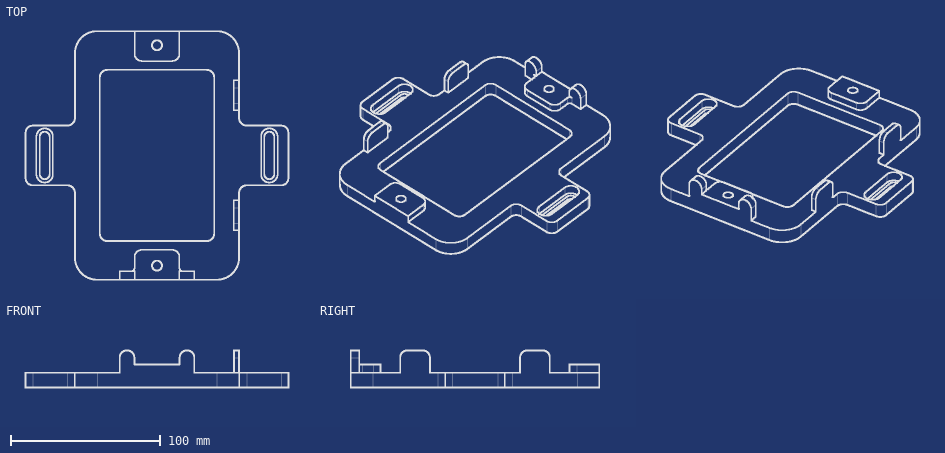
import cadquery as cq
import math

overall_length = 175.5
body_width = 109.7
body_depth = 166.0
plate_thickness = 10.0
body_corner_radius = 15.0
small_radius = 5.0
window_width = 76.2
window_depth = 114.0
tab_depth = 40.0

slot_offset = 75.0
slot_width = 6.5
slot_length = 31.6
slot_step = 2.3
slot_recess_depth = 6.7

pad_width = 30.0
pad_depth = 20.0
pad_height = 5.5
hole_diameter = 6.5
hole_edge_distance = 9.5

stop_height = 15.0
lug_width = 10.0
lug_thickness = 5.8
lug_fillet_radius = 2.0
side_stop_thickness = 3.5
side_stop_length = 20.0
side_stop_offset = 40.0

body_right = body_width / 2
body_back = body_depth / 2


def block(width, depth, height, x=0.0, y=0.0, z=0.0):
    """Box centred on (x, y) with its underside at z."""
    base = cq.Workplane("XY", origin=(x, y, z))
    return base.box(width, depth, height, centered=(True, True, False))


def make_plate():
    """Cross-shaped frame with rounded corners and a rounded window."""
    body = block(body_width, body_depth, plate_thickness).edges("|Z").fillet(body_corner_radius)
    tabs = block(overall_length, tab_depth, plate_thickness).edges("|Z").fillet(small_radius)
    junctions = cq.selectors.BoxSelector(
        (-body_right - small_radius, -tab_depth, -plate_thickness),
        (body_right + small_radius, tab_depth, 2 * plate_thickness),
    )
    frame = body.union(tabs).edges("|Z").edges(junctions).fillet(small_radius)
    window = block(window_width, window_depth, plate_thickness).edges("|Z").fillet(small_radius)
    return frame.cut(window)


def make_slot(x):
    """Through slot along Y with a wider recess at the top."""
    through = (
        cq.Workplane("XY")
        .center(x, 0)
        .slot2D(slot_length, slot_width, 90)
        .extrude(plate_thickness)
    )
    recess = (
        cq.Workplane("XY", origin=(0, 0, plate_thickness - slot_recess_depth))
        .center(x, 0)
        .slot2D(slot_length + 2 * slot_step, slot_width + 2 * slot_step, 90)
        .extrude(slot_recess_depth)
    )
    return through.union(recess)


def make_pad(side):
    """Raised pad flush with the front (side = -1) or back (side = 1) edge."""
    pad_y = side * (body_back - pad_depth / 2)
    inner_corners = "|Z and <Y" if side > 0 else "|Z and >Y"
    pad = block(pad_width, pad_depth, pad_height, y=pad_y, z=plate_thickness)
    return pad.edges(inner_corners).fillet(small_radius)


def make_screw_hole(side):
    """Vertical hole through a pad and the plate below it."""
    hole_y = side * (body_back - hole_edge_distance)
    return (
        cq.Workplane("XY")
        .center(0, hole_y)
        .circle(hole_diameter / 2)
        .extrude(plate_thickness + pad_height)
    )


def make_lug(side):
    """Round-topped lug on the front edge, beside the pad."""
    lug_x = side * (pad_width + lug_width) / 2
    straight_height = stop_height - lug_width / 2
    return (
        cq.Workplane("XZ", origin=(lug_x, -body_back, plate_thickness))
        .moveTo(-lug_width / 2, 0)
        .lineTo(lug_width / 2, 0)
        .lineTo(lug_width / 2, straight_height)
        .threePointArc((0, stop_height), (-lug_width / 2, straight_height))
        .close()
        .extrude(-lug_thickness)
    )


def make_lug_fillet(side):
    """Concave fillet, as tall as the pad, between the pad side and the back of a lug."""
    corner_x = side * pad_width / 2
    corner_y = lug_thickness - body_back
    arc_x = corner_x + side * lug_fillet_radius
    arc_y = corner_y + lug_fillet_radius
    arc_reach = lug_fillet_radius * math.sqrt(0.5)
    arc_middle = (arc_x - side * arc_reach, arc_y - arc_reach)
    return (
        cq.Workplane("XY", origin=(0, 0, plate_thickness))
        .moveTo(corner_x, corner_y)
        .lineTo(arc_x, corner_y)
        .threePointArc(arc_middle, (corner_x, arc_y))
        .close()
        .extrude(pad_height)
    )


def make_side_stop(side):
    """Thin upright stop on the right edge with rounded top corners."""
    stop = block(
        side_stop_thickness,
        side_stop_length,
        stop_height,
        x=body_right - side_stop_thickness / 2,
        y=side * side_stop_offset,
        z=plate_thickness,
    )
    return stop.edges("|X and >Z").fillet(small_radius)


result = make_plate()
for side in (-1, 1):
    result = result.union(make_pad(side))
    result = result.union(make_lug(side))
    result = result.union(make_lug_fillet(side))
    result = result.union(make_side_stop(side))
    result = result.cut(make_slot(side * slot_offset))
    result = result.cut(make_screw_hole(side))